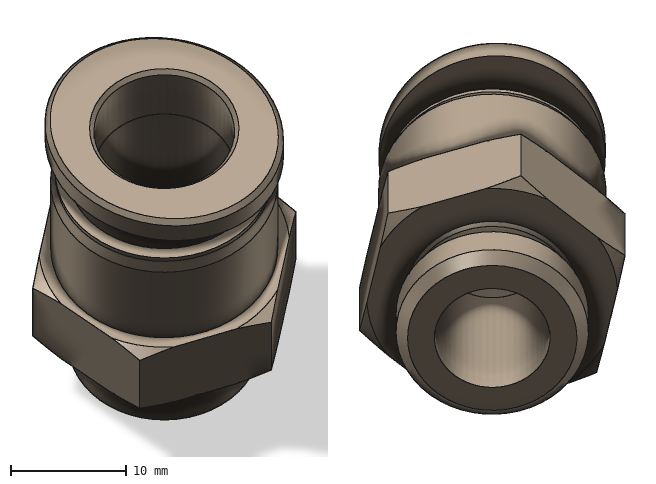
import cadquery as cq


thread_chamfer = 1.0
thread_shoulder_bottom = 4.0
thread_shoulder_top = 4.5
neck_flare_bottom = 6.58
hex_bottom = 7.03
hex_top = 15.0
barrel_top = 24.5
lip_bottom = 25.55
housing_top = 26.03
collar_top = 27.85
flange_bottom = 29.53
button_top = 32.1

thread_diameter = 16.65
thread_neck_diameter = 14.6
neck_flare_diameter = 15.1
barrel_diameter = 19.7
lip_diameter = 18.9
tube_socket_diameter = 12.2
through_bore_diameter = 10.0

hex_across_corners = 24.25
hex_face_diameter = 21.75
hex_corner_chamfer = 0.5

collar_diameter = 16.9
button_neck_diameter = 14.2
flange_length = 21.45
flange_width = 19.52
flange_chamfer = 0.45
button_bore_diameter = 12.15
button_bore_chamfer = 0.4


def cylinder(diameter, bottom, top):
    """Round bar on the Z axis between two heights."""
    return cq.Workplane("XY").workplane(offset=bottom).circle(diameter / 2).extrude(top - bottom)


def turned(profile):
    """Solid of revolution from (diameter, height) points, closed along the Z axis."""
    points = [(diameter / 2, height) for diameter, height in profile]
    points = [(0, profile[0][1])] + points + [(0, profile[-1][1])]
    return cq.Workplane("XZ").polyline(points).close().revolve(360, (0, 0, 0), (0, 1, 0))


def make_hexagon():
    """Hexagon with corners on the X axis, its corners chamfered at both ends by a cone."""
    prism = (
        cq.Workplane("XY")
        .workplane(offset=hex_bottom)
        .polygon(6, hex_across_corners)
        .extrude(hex_top - hex_bottom)
    )
    chamfer_envelope = turned([
        (hex_face_diameter, hex_bottom),
        (hex_across_corners, hex_bottom + hex_corner_chamfer),
        (hex_across_corners, hex_top - hex_corner_chamfer),
        (hex_face_diameter, hex_top),
    ])
    return prism.intersect(chamfer_envelope)


def make_threaded_end():
    """Plain thread cylinder with a lead-in chamfer and an undercut neck below the hexagon."""
    return turned([
        (thread_diameter - 2 * thread_chamfer, 0),
        (thread_diameter, thread_chamfer),
        (thread_diameter, thread_shoulder_bottom),
        (thread_neck_diameter, thread_shoulder_top),
        (thread_neck_diameter, neck_flare_bottom),
        (neck_flare_diameter, hex_bottom),
    ])


def make_barrel():
    """Barrel above the hexagon, tapering to a short lip at its top."""
    return turned([
        (barrel_diameter, hex_top),
        (barrel_diameter, barrel_top),
        (lip_diameter, lip_bottom),
        (lip_diameter, housing_top),
    ])


def make_housing():
    """Housing with a tube socket down to the hexagon and a narrower bore right through."""
    through_bore = cylinder(through_bore_diameter, 0, housing_top)
    tube_socket = cylinder(tube_socket_diameter, hex_top, housing_top)
    outside = make_hexagon().union(make_threaded_end()).union(make_barrel())
    return outside.cut(through_bore).cut(tube_socket)


def make_flange():
    """Oval press flange with a chamfered upper rim."""
    return (
        cq.Workplane("XY")
        .workplane(offset=flange_bottom)
        .ellipse(flange_length / 2, flange_width / 2)
        .extrude(button_top - flange_bottom)
        .faces(">Z")
        .edges()
        .chamfer(flange_chamfer)
    )


def make_release_button():
    """Release button: collar resting on the housing, neck and oval flange, bored through."""
    collar = cylinder(collar_diameter, housing_top, collar_top)
    neck = cylinder(button_neck_diameter, collar_top, flange_bottom)
    bore = turned([
        (button_bore_diameter, housing_top),
        (button_bore_diameter, button_top - button_bore_chamfer),
        (button_bore_diameter + 2 * button_bore_chamfer, button_top),
    ])
    return collar.union(neck).union(make_flange()).cut(bore)


housing = make_housing()
release_button = make_release_button()

result = cq.Compound.makeCompound([housing.solids().val(), release_button.solids().val()])